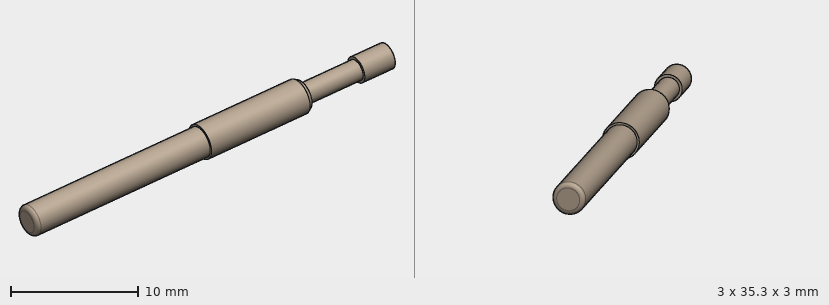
import cadquery as cq

total_length = 35.3
head_diameter = 2.25
head_length = 3.0
stem_diameter = 1.8
stem_length = 5.3
collar_diameter = 3.0
collar_length = 10.03
collar_chamfer_length = 0.35
collar_chamfer_depth = 0.2
barrel_diameter = 2.65
barrel_end_radius = 0.4

barrel_length = total_length - head_length - stem_length - collar_length


def section(start, length, diameter):
    """Round section running from y = start towards +Y."""
    base = cq.Workplane("XZ", origin=(0, start, 0))
    return base.circle(diameter / 2).extrude(-length)


barrel_start = -total_length / 2
collar_start = barrel_start + barrel_length
stem_start = collar_start + collar_length
head_start = stem_start + stem_length

barrel = section(barrel_start, barrel_length, barrel_diameter)
barrel = barrel.faces("<Y").edges().fillet(barrel_end_radius)

taper_start = stem_start - collar_chamfer_length
collar = section(collar_start, collar_length - collar_chamfer_length, collar_diameter)
shoulder = (
    cq.Workplane("XY")
    .moveTo(0, taper_start)
    .lineTo(collar_diameter / 2, taper_start)
    .lineTo(collar_diameter / 2 - collar_chamfer_depth, stem_start)
    .lineTo(0, stem_start)
    .close()
    .revolve(360, (0, 0, 0), (0, 1, 0))
)

stem = section(stem_start, stem_length, stem_diameter)
head = section(head_start, head_length, head_diameter)

result = barrel.union(collar).union(shoulder).union(stem).union(head)